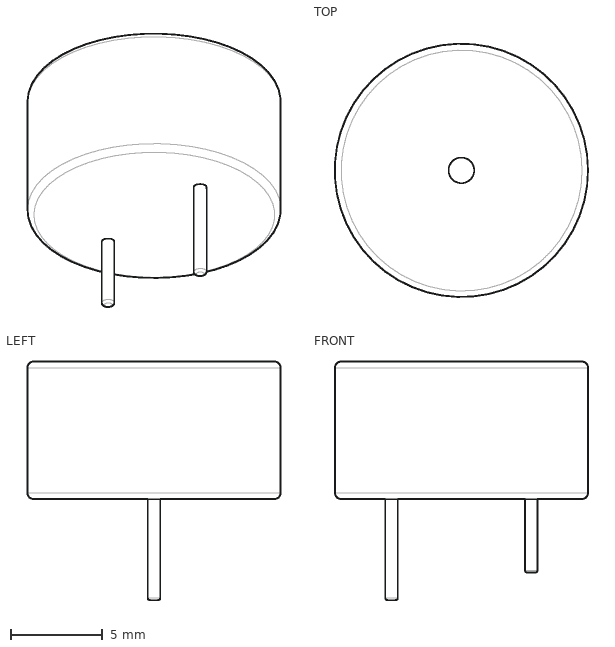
import cadquery as cq

can_diameter = 13.8
can_height = 7.5
can_edge_radius = 0.35

sound_hole_diameter = 1.4
sound_hole_depth = 0.2

pin_diameter = 0.7
pin_spacing = 7.6
long_pin_length = 5.5
short_pin_length = 4.0
pin_tip_radius = 0.14


def make_can():
    """Cylinder with rounded rims and the sound hole in its top."""
    can = cq.Workplane("XY").circle(can_diameter / 2).extrude(can_height)
    can = can.edges("%CIRCLE").fillet(can_edge_radius)
    return can.faces(">Z").workplane().hole(sound_hole_diameter, sound_hole_depth)


def make_pin(x, length):
    """Pin hanging down from the underside of the can, with a rounded tip."""
    pin = cq.Workplane("XY").center(x, 0).circle(pin_diameter / 2).extrude(-length)
    return pin.faces("<Z").edges().fillet(pin_tip_radius)


long_pin = make_pin(-pin_spacing / 2, long_pin_length)
short_pin = make_pin(pin_spacing / 2, short_pin_length)
result = make_can().union(long_pin).union(short_pin)